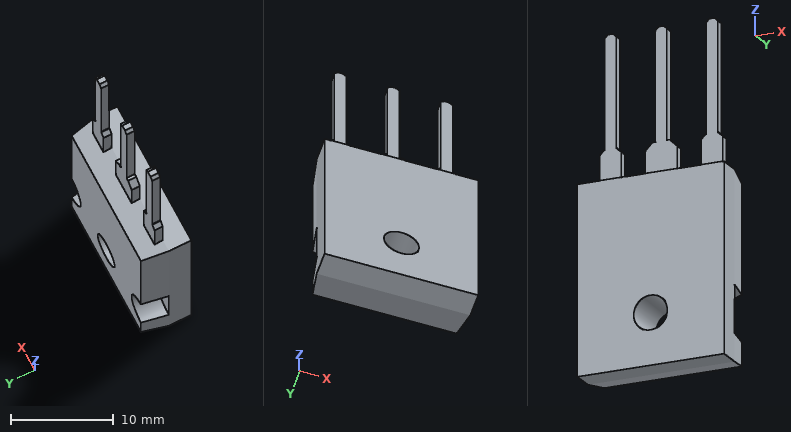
import cadquery as cq
import math

WIDTH = 15.8
DEPTH = 5.3
HOUSING_HEIGHT = 20.0
SLAB_DEPTH = 2.5
COVER_DEPTH = DEPTH - SLAB_DEPTH
TAPER_ANGLE = 10

HOLE_DIAMETER = 3.6
HOLE_HEIGHT = 5.48
NOTCH_RADIUS = 2.5

TOTAL_HEIGHT = 36.05
LEAD_PITCH = 5.45
LEAD_THICKNESS = 0.9
PIN_WIDTH = 1.25
TIP_CHAMFER = 0.342
SHOULDER_HEIGHT = 4.1
SHOULDER_TOP = HOUSING_HEIGHT + SHOULDER_HEIGHT
OUTER_SHOULDER_WIDTH = 2.3
OUTER_SHOULDER_CHAMFER = 0.47
MIDDLE_SHOULDER_WIDTH = 3.42
MIDDLE_SHOULDER_CHAMFER = 0.75
LEAD_ROOT_DROP = LEAD_THICKNESS * math.tan(math.radians(TAPER_ANGLE))


def plane_at(y):
    """Upright plane at depth y, facing +Y; its local x runs along -X."""
    return cq.Workplane(cq.Plane(origin=(0, y, 0), xDir=(-1, 0, 0), normal=(0, 1, 0)))


def make_housing():
    middle = HOUSING_HEIGHT / 2
    slab = plane_at(0).center(0, middle).rect(WIDTH, HOUSING_HEIGHT).extrude(SLAB_DEPTH)
    cover = (
        plane_at(SLAB_DEPTH)
        .center(0, middle)
        .rect(WIDTH, HOUSING_HEIGHT)
        .extrude(COVER_DEPTH, taper=TAPER_ANGLE)
    )
    hole = plane_at(0).center(0, HOLE_HEIGHT).circle(HOLE_DIAMETER / 2).extrude(DEPTH)
    notches = (
        plane_at(SLAB_DEPTH)
        .pushPoints([(side * WIDTH / 2, HOLE_HEIGHT) for side in (-1, 1)])
        .circle(NOTCH_RADIUS)
        .extrude(COVER_DEPTH)
    )
    return slab.union(cover).cut(hole).cut(notches).solids()


def make_lead(x, shoulder_width, shoulder_chamfer, housing):
    """One flat lead, its root trimmed to sit flush on the sloping end of the housing."""
    root = HOUSING_HEIGHT - LEAD_ROOT_DROP
    right_side = [
        (shoulder_width / 2, root),
        (shoulder_width / 2, SHOULDER_TOP - shoulder_chamfer),
        (shoulder_width / 2 - shoulder_chamfer, SHOULDER_TOP),
        (PIN_WIDTH / 2, SHOULDER_TOP),
        (PIN_WIDTH / 2, TOTAL_HEIGHT - TIP_CHAMFER),
        (PIN_WIDTH / 2 - TIP_CHAMFER, TOTAL_HEIGHT),
    ]
    left_side = [(-px, pz) for px, pz in reversed(right_side)]
    blank = plane_at(SLAB_DEPTH).polyline(right_side + left_side).close().extrude(LEAD_THICKNESS)
    return blank.translate((x, 0, 0)).cut(housing).solids()


housing = make_housing()

leads = []
for position in (-1, 0, 1):
    if position == 0:
        width, chamfer = MIDDLE_SHOULDER_WIDTH, MIDDLE_SHOULDER_CHAMFER
    else:
        width, chamfer = OUTER_SHOULDER_WIDTH, OUTER_SHOULDER_CHAMFER
    leads.append(make_lead(position * LEAD_PITCH, width, chamfer, housing))

result = cq.Compound.makeCompound([housing.val(), *[lead.val() for lead in leads]])